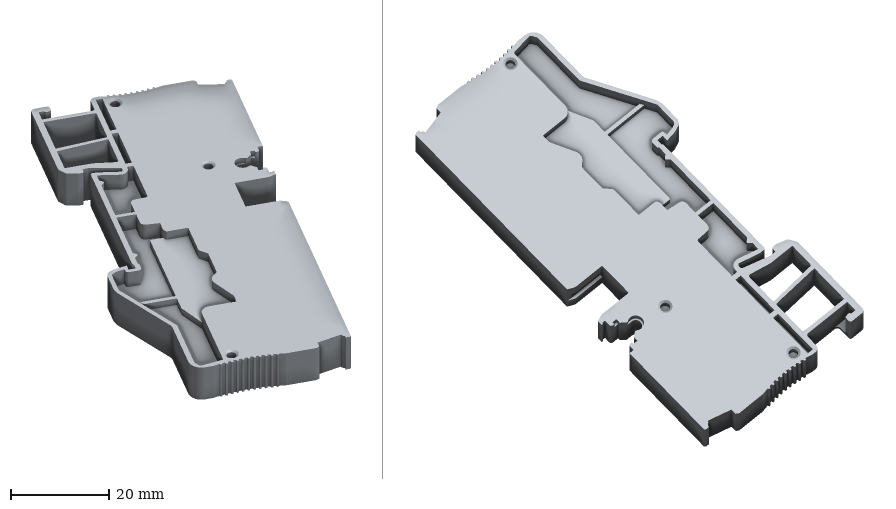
import cadquery as cq
import math

LENGTH = 92.5
DEPTH = 42.2
HEIGHT = 8.2
MID_X = LENGTH / 2

SAME_POINT = 9.25e-07

POCKET_FLOOR = HEIGHT - 3.8
SHELF_TOP = HEIGHT - 2.1
HOOK_WEB_TOP = 0.8

WALL = 1.1
BODY_EDGE = 15.1
SLOT_FRONT = 13.7
BODY_BOTTOM = SLOT_FRONT - WALL
RAIL_BOTTOM = 5.9
RAIL_INNER = RAIL_BOTTOM + WALL
TAIL_BOTTOM = 8.05
TAIL_INNER = TAIL_BOTTOM + WALL
FOOT_INNER = 1.4

FOOT_POST_LEFT = 4.2
FOOT_POST_RIGHT = 5.1
LIP_LEFT = 0.3
LIP_RIGHT = 1.7
LIP_TOP = 4.0

LAND_LEFT = 46.1
LAND_RIGHT = 69.7
LAND_BACK_RIGHT = 75.4
LAND_FRONT = 12.3
RIB_WIDTH = 0.8
TALL_RIB_X = 38.9
LOW_RIB_X = 65.4
BUMP_CENTRES = (27.7, 52.7)
BUMP_HALF_WIDTH = 0.8
BUMP_HEIGHT = 0.9

CLIP_X = 29.1
CLIP_BOTTOM_RADIUS = 1.3
CLIP_BOTTOM_Y = 36.7
CLIP_SHOULDER_Y = 39.1
CLIP_STEP_Y = 41.1
CLIP_RECESS_DEPTH = 1.4
CLIP_RECESS_STEP = 0.4
SIDE_RECESS_HALF_WIDTH = 3.2
SIDE_RECESS_BACK = 40.15
WIDE_SLOT_LEFT = 35.2
WIDE_SLOT_RIGHT = 43.3
WIDE_SLOT_BOTTOM = 33.3
WALL_GROOVE_DEPTH = 0.65
WALL_GROOVE_LOW = 2.8
WALL_GROOVE_HIGH = 5.55

GRIP_TOP = 27.9
GRIP_SAG = 0.8
GRIP_PITCH = 1.2
GRIP_MARGIN = 1.4
LEFT_GRIP_BOTTOM = 14.6
RIGHT_GRIP_BOTTOM = 12.6
RIDGE_HEIGHT = 0.5
RIDGE_ROOT = 0.7
RIDGE_TIP = 0.4
RIDGE_OVERLAP = 0.1

HOLE_RADIUS = 1.0
HOLE_DEPTH = 1.85
SINK_RADIUS = 1.5
SINK_DEPTH = 0.4
HOLE_CENTRES = [(2.9, 17.2), (27.9, 29.8), (LENGTH - 2.9, 17.2)]


def rounded_corner(corner, before, after):
    """Start, middle and end of the arc that rounds a corner (x, y, r) between its neighbours."""
    x, y, radius = corner
    angle_in = math.atan2(before[1] - y, before[0] - x)
    angle_out = math.atan2(after[1] - y, after[0] - x)
    half_angle = math.remainder(angle_out - angle_in, math.tau) / 2
    setback = radius / math.tan(abs(half_angle))
    reach = radius / math.sin(abs(half_angle)) - radius
    return [
        (x + distance * math.cos(angle), y + distance * math.sin(angle))
        for distance, angle in ((setback, angle_in), (reach, angle_in + half_angle), (setback, angle_out))
    ]


def prism(points, low=0.0, high=HEIGHT):
    """Upright prism over a polygon; a corner given as (x, y, r) is rounded with radius r."""
    pieces = []
    for i, corner in enumerate(points):
        if len(corner) == 2:
            pieces.append([corner])
        else:
            pieces.append(rounded_corner(corner, points[i - 1], points[(i + 1) % len(points)]))
    here = pieces[0][-1]
    outline = cq.Workplane("XY").workplane(offset=low).moveTo(*here)
    for piece in pieces[1:] + pieces[:1]:
        if math.dist(here, piece[0]) > SAME_POINT:
            outline = outline.lineTo(*piece[0])
        if len(piece) == 3:
            outline = outline.threePointArc(piece[1], piece[2])
        here = piece[-1]
    return outline.close().extrude(high - low)


def block(left, right, front, back, low=0.0, high=HEIGHT):
    return prism([(left, front), (right, front), (right, back), (left, back)], low, high)


def mirrored(shape):
    """The same shape at the other end of the part."""
    return shape.mirror("YZ", (MID_X, 0, 0))


def blank():
    """Outer shape without the notches of the back edge and the ends."""
    return prism([
        (LIP_LEFT, 0, 0.8), (21.0, 0), (22.8, 1.1, 0.9), (23.5, 3.6), (23.5, 4.8, 0.4), (22.3, 4.8),
        (22.3, 6.1), (24.1, BODY_BOTTOM, 0.5), (25.35, BODY_BOTTOM, 0.5),
        (24.15, 7.3), (24.15, RAIL_BOTTOM, 0.4),
        (55.6, RAIL_BOTTOM), (55.6, 6.2), (57.0, 6.2), (57.0, 4.7), (55.6, 4.7),
        (56.0, 2.4, 1.85), (56.9, 0, 1.6), (62.6, 0), (64.0, 0.5),
        (77.5, TAIL_BOTTOM, 1.7), (LENGTH, TAIL_BOTTOM, 2.8),
        (LENGTH, DEPTH), (0, DEPTH),
        (0, BODY_BOTTOM, 1.1), (FOOT_POST_LEFT, BODY_BOTTOM, 0.6), (FOOT_POST_LEFT, LIP_TOP, 0.9),
        (LIP_LEFT, LIP_TOP, 0.5),
    ])


def end_notch():
    """Hooked notch in the back left corner."""
    return prism([
        (-0.9, DEPTH + 0.9), (2.0, DEPTH + 0.9), (2.0, DEPTH), (1.8, DEPTH - 0.3), (1.8, 41.1), (2.2, 41.0),
        (2.6, 40.5), (3.0, 40.3), (1.7, 35.1), (0.4, 35.1), (0, 34.4), (-0.9, 34.4),
    ])


def grip_hollow(bottom):
    """Concave hollow of the left end with the ridges left standing in it."""
    middle = (GRIP_TOP + bottom) / 2
    half_chord = (GRIP_TOP - bottom) / 2
    radius = (half_chord ** 2 + GRIP_SAG ** 2) / (2 * GRIP_SAG)
    centre_x = GRIP_SAG - radius
    hollow = cq.Workplane("XY").center(centre_x, middle).circle(radius).extrude(HEIGHT)
    ridge_count = int((2 * half_chord - 2 * GRIP_MARGIN) / GRIP_PITCH) + 1
    for i in range(ridge_count):
        y = middle + (i - (ridge_count - 1) / 2) * GRIP_PITCH
        root_x = centre_x + math.sqrt(radius ** 2 - (y - middle) ** 2)
        tip_x = max(root_x - RIDGE_HEIGHT, 0)
        hollow = hollow.cut(prism([
            (tip_x, y - RIDGE_TIP / 2), (root_x + RIDGE_OVERLAP, y - RIDGE_ROOT / 2),
            (root_x + RIDGE_OVERLAP, y + RIDGE_ROOT / 2), (tip_x, y + RIDGE_TIP / 2),
        ]))
    return hollow


def clip_notch():
    """Stepped notch with a round bottom and small recesses around its lower part."""
    half_profile = [
        (CLIP_BOTTOM_RADIUS, CLIP_BOTTOM_Y), (CLIP_BOTTOM_RADIUS, 38.1), (1.85, 38.7), (2.1, CLIP_SHOULDER_Y),
        (2.7, CLIP_SHOULDER_Y), (2.7, CLIP_STEP_Y, 0.6),
    ]
    right = [(CLIP_X + p[0],) + p[1:] for p in half_profile]
    left = [(CLIP_X - p[0],) + p[1:] for p in reversed(half_profile)]
    right_rim = [(33.7, CLIP_STEP_Y), (33.7, DEPTH - 0.4), (33.4, DEPTH - 0.4), (33.4, DEPTH + 0.9)]
    left_rim = [(24.9, DEPTH + 0.9), (24.9, CLIP_STEP_Y)]
    notch = prism(right + right_rim + left_rim + left)
    round_bottom = cq.Workplane("XY").center(CLIP_X, CLIP_BOTTOM_Y).circle(CLIP_BOTTOM_RADIUS).extrude(HEIGHT)
    recess_floor = HEIGHT - CLIP_RECESS_DEPTH
    recess = (
        cq.Workplane("XY").workplane(offset=recess_floor).center(CLIP_X, CLIP_BOTTOM_Y)
        .circle(CLIP_BOTTOM_RADIUS + CLIP_RECESS_STEP).extrude(CLIP_RECESS_DEPTH)
    )
    side_recess = block(
        CLIP_X - SIDE_RECESS_HALF_WIDTH, CLIP_X + SIDE_RECESS_HALF_WIDTH,
        CLIP_SHOULDER_Y, SIDE_RECESS_BACK, recess_floor,
    )
    return notch.union(round_bottom).union(recess).union(side_recess)


def wide_slot():
    """Slot through the back edge with rounded mouth and a groove along its right wall."""
    slot = prism([
        (WIDE_SLOT_LEFT, WIDE_SLOT_BOTTOM), (WIDE_SLOT_RIGHT, WIDE_SLOT_BOTTOM),
        (WIDE_SLOT_RIGHT, 40.6, 1.85), (44.0, DEPTH), (44.0, DEPTH + 0.9), (34.6, DEPTH + 0.9),
        (34.6, DEPTH), (WIDE_SLOT_LEFT, 40.6, 1.85),
    ])
    groove = block(
        WIDE_SLOT_RIGHT - 0.9, WIDE_SLOT_RIGHT + WALL_GROOVE_DEPTH, WIDE_SLOT_BOTTOM, DEPTH,
        WALL_GROOVE_LOW, WALL_GROOVE_HIGH,
    )
    return slot.union(groove)


def foot_windows():
    """Two openings through the left foot, parted by a slanted strut."""
    left = prism([
        (FOOT_POST_RIGHT, FOOT_INNER), (14.25, FOOT_INNER), (13.4, BODY_BOTTOM, 0.3),
        (FOOT_POST_RIGHT, BODY_BOTTOM, 0.5),
    ])
    right = prism([
        (15.2, FOOT_INNER, 0.4), (21.0, FOOT_INNER), (21.0, 7.3),
        (22.0, BODY_BOTTOM, 0.5), (14.2, BODY_BOTTOM, 0.3),
    ])
    return left.union(right)


def hook_recess():
    """Hollow of the hook, closed underneath by a thin web."""
    return prism([
        (LIP_RIGHT, FOOT_INNER), (FOOT_POST_LEFT, FOOT_INNER), (FOOT_POST_LEFT, LIP_TOP + 0.9),
        (1.85, LIP_TOP + 0.9), (1.85, LIP_TOP), (2.0, 3.1), (2.0, 2.7), (LIP_RIGHT, 2.5),
    ], HOOK_WEB_TOP)


def front_slots():
    """Two narrow blind slots behind the left foot."""
    first = block(0.8, 11.5, SLOT_FRONT, BODY_EDGE, POCKET_FLOOR)
    second = block(12.6, 22.9, SLOT_FRONT, BODY_EDGE, POCKET_FLOOR)
    return first.union(second)


def front_pocket():
    """Long pocket between the body and the front wall, with its ribs and bumps left standing."""
    pocket = prism([
        (24.1, BODY_EDGE), (24.1, SLOT_FRONT), (26.6, SLOT_FRONT, 1.7), (25.1, RAIL_INNER),
        (55.5, RAIL_INNER), (55.8, 7.3), (57.8, 7.3, 0.65), (57.8, 4.1, 0.5), (56.6, 3.9),
        (57.0, 2.2, 1.85), (57.55, 0.9, 0.9), (63.0, 0.9), (77.5, TAIL_INNER),
        (90.4, TAIL_INNER), (91.8, 10.0, 0.7), (91.0, BODY_EDGE, 0.4),
        (43.9, BODY_EDGE), (43.5, 11.2, 1.1), (35.0, 11.2, 1.1), (34.8, BODY_EDGE, 0.4),
    ], POCKET_FLOOR)
    for x in BUMP_CENTRES:
        pocket = pocket.cut(prism([
            (x - BUMP_HALF_WIDTH, RAIL_INNER), (x + BUMP_HALF_WIDTH, RAIL_INNER),
            (x, RAIL_INNER + BUMP_HEIGHT, 0.3),
        ]))
    tall_rib = block(TALL_RIB_X, TALL_RIB_X + RIB_WIDTH, 0, BODY_EDGE)
    low_rib = block(LOW_RIB_X, LOW_RIB_X + RIB_WIDTH, 0, BODY_EDGE, 0, SHELF_TOP)
    return pocket.cut(tall_rib).cut(low_rib).cut(shelf_land())


def shelf_land():
    """Raised land in the pocket, in front of the shelf."""
    return prism([
        (LAND_LEFT, LAND_FRONT, 0.3), (LAND_RIGHT, LAND_FRONT),
        (LAND_BACK_RIGHT, BODY_EDGE), (LAND_LEFT, BODY_EDGE),
    ], 0, SHELF_TOP)


def shelf():
    """Shallow step let into the body behind the pocket."""
    return prism([
        (LAND_LEFT, LAND_FRONT, 0.3), (LAND_RIGHT, LAND_FRONT),
        (LAND_BACK_RIGHT, BODY_EDGE), (73.2, BODY_EDGE, 2.0), (73.2, 22.9), (71.2, 22.9),
        (64.6, 19.6, 2.1), (62.6, 21.7), (56.25, 21.7), (54.7, 20.2, 0.7),
        (46.9, 20.2), (46.9, 15.5, 0.5), (LAND_LEFT, BODY_EDGE),
    ], SHELF_TOP)


def holes():
    """Blind holes with a countersink at the top face."""
    drilled = (
        cq.Workplane("XY").workplane(offset=HEIGHT).pushPoints(HOLE_CENTRES)
        .circle(HOLE_RADIUS).extrude(-HOLE_DEPTH)
    )
    for x, y in HOLE_CENTRES:
        cone = cq.Solid.makeCone(
            HOLE_RADIUS, SINK_RADIUS, SINK_DEPTH, cq.Vector(x, y, HEIGHT - SINK_DEPTH), cq.Vector(0, 0, 1)
        )
        drilled = drilled.union(cq.Workplane(cone))
    return drilled


result = blank()
for cutter in (
    end_notch(), mirrored(end_notch()),
    grip_hollow(LEFT_GRIP_BOTTOM), mirrored(grip_hollow(RIGHT_GRIP_BOTTOM)),
    clip_notch(), wide_slot(), foot_windows(), hook_recess(),
    front_slots(), front_pocket(), shelf(), holes(),
):
    result = result.cut(cutter)